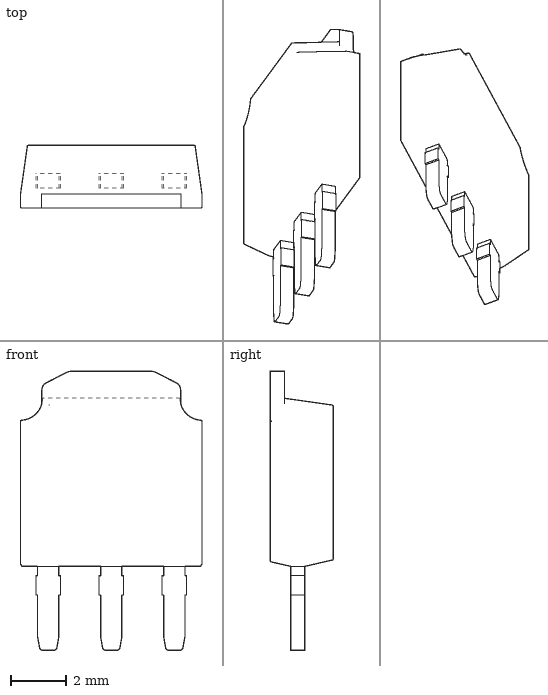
import cadquery as cq
import math


body_width = 6.6
depth = 2.29
total_height = 10.15
lead_length = 3.05
tab_top = total_height - lead_length

body_top = tab_top - 0.985
sheet_thickness = 0.52
draft_depth = depth - sheet_thickness
draft_angle = 8.1
scoop_radius = 0.8
bottom_slope = math.tan(math.radians(13))
edge_round = 0.05
outline_base = -1.0

lead_pitch = 2.29
lead_front = 0.74
lead_back = lead_front + sheet_thickness
lead_half_width = 0.39
shoulder_half_width = 0.45
shoulder_top = -0.33
shoulder_bottom = -1.04
tip_taper_start = -2.56
tip_half_width = 0.30
tip_round = 0.13
lead_embed = 0.5

tab_half_width = 2.525
tab_top_half_width = 1.53
tab_shoulder_drop = 0.507
tab_wide_drop = 1.9
neck_half_width = 1.725
neck_drop = 2.385
pad_half_width = 2.16
pad_drop = 5.2
tab_peak_round = 0.5
tab_shoulder_round = 0.3
tab_corner_round = 0.08

slot_length = 1.53
slot_width = 0.53
slot_drop = 1.735


def front_plane(y):
    """XZ plane at the given Y, with its normal toward +Y and its local X along -X."""
    return cq.Workplane(cq.Plane(origin=(0, y, 0), xDir=(-1, 0, 0), normal=(0, 1, 0)))


def mirrored(right_side):
    """Close a symmetric outline from the points of one side, listed top to bottom."""
    return right_side + [(-x, z) for x, z in reversed(right_side)]


def body_outline(y):
    """Body outline with a quarter-circle scoop at each top corner."""
    half = body_width / 2
    diagonal = scoop_radius * math.sqrt(0.5)
    return (
        front_plane(y)
        .moveTo(-half, outline_base)
        .lineTo(half, outline_base)
        .lineTo(half, body_top - scoop_radius)
        .threePointArc((half - diagonal, body_top - diagonal), (half - scoop_radius, body_top))
        .lineTo(-half + scoop_radius, body_top)
        .threePointArc((-half + diagonal, body_top - diagonal), (-half, body_top - scoop_radius))
        .close()
    )


def make_body():
    straight = body_outline(0).extrude(sheet_thickness)
    drafted = body_outline(sheet_thickness).extrude(draft_depth, taper=draft_angle)
    side_profile = (
        cq.Workplane("YZ")
        .polyline([
            (0, tab_top),
            (0, lead_front * bottom_slope),
            (lead_front, 0),
            (lead_back, 0),
            (depth, (depth - lead_back) * bottom_slope),
            (depth, tab_top),
        ])
        .close()
        .extrude(body_width, both=True)
    )
    body = straight.union(drafted).intersect(side_profile)
    return round_body_edges(body)


def slab(y_low, y_high, z_low, z_high):
    """Selector for edges whose centre lies in the given Y and Z ranges, at any X."""
    return cq.selectors.BoxSelector((-body_width, y_low, z_low), (body_width, y_high, z_high))


def round_body_edges(body):
    """Break the moulding's edges, leaving the shallow creases and the front scoop edges sharp."""
    gap = 0.01
    scoop_base = body_top - scoop_radius
    draft_creases = slab(sheet_thickness - gap, sheet_thickness + gap, -gap, tab_top)
    lead_creases = cq.selectors.AndSelector(
        slab(lead_front - gap, lead_back + gap, -gap, gap),
        cq.selectors.ParallelDirSelector(cq.Vector(1, 0, 0)),
    )
    front_top = slab(-gap, gap, scoop_base, tab_top)
    kept_sharp = cq.selectors.SumSelector(cq.selectors.SumSelector(draft_creases, lead_creases), front_top)
    return body.edges(cq.selectors.InverseSelector(kept_sharp)).fillet(edge_round)


def round_corners(plate, radius, z_low, z_high):
    """Round the plate's through-thickness corners in a height band."""
    return plate.edges("|Y").edges(slab(-depth, depth, z_low, z_high)).fillet(radius)


def make_tab():
    shoulder_z = tab_top - tab_shoulder_drop
    wide_base_z = tab_top - tab_wide_drop
    neck_base_z = tab_top - neck_drop
    pad_base_z = tab_top - pad_drop
    outline = mirrored([
        (tab_top_half_width, tab_top),
        (tab_half_width, shoulder_z),
        (tab_half_width, wide_base_z),
        (neck_half_width, wide_base_z),
        (neck_half_width, neck_base_z),
        (pad_half_width, neck_base_z),
        (pad_half_width, pad_base_z),
    ])
    tab = front_plane(0).polyline(outline).close().extrude(sheet_thickness)
    margin = 0.1
    tab = round_corners(tab, tab_corner_round, pad_base_z - margin, wide_base_z + margin)
    tab = round_corners(tab, tab_shoulder_round, shoulder_z - margin, shoulder_z + margin)
    tab = round_corners(tab, tab_peak_round, tab_top - margin, tab_top + margin)
    slot = front_plane(0).center(0, tab_top - slot_drop).slot2D(slot_length, slot_width)
    return tab.cut(slot.extrude(sheet_thickness))


def make_lead(x):
    tip_z = -lead_length
    outline = mirrored([
        (lead_half_width, lead_embed),
        (lead_half_width, shoulder_top),
        (shoulder_half_width, shoulder_top),
        (shoulder_half_width, shoulder_bottom),
        (lead_half_width, shoulder_bottom),
        (lead_half_width, tip_taper_start),
        (tip_half_width, tip_z),
    ])
    lead = front_plane(lead_front).polyline(outline).close().extrude(sheet_thickness)
    lead = lead.edges("|Y").edges("<Z").fillet(tip_round)
    return lead.translate((x, 0, 0))


tab = make_tab()
result = make_body().cut(tab, clean=False).union(tab, clean=False)
for position in (-1, 0, 1):
    result = result.union(make_lead(position * lead_pitch), clean=False)